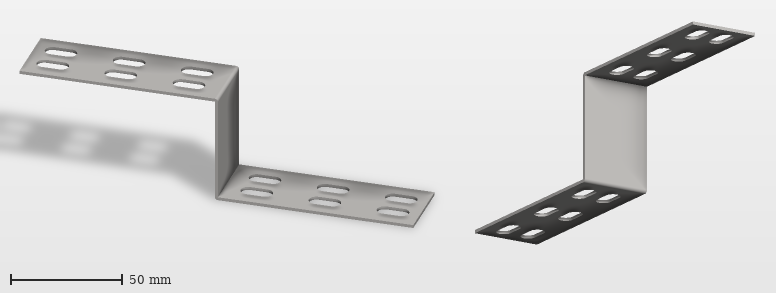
import cadquery as cq

length = 185.0
width = 33.0
height = 51.5
thickness = 1.5
outer_bend_radius = thickness

slot_length = 15.0
slot_width = 7.0
column_pitch = 32.0
row_pitch = 12.8
columns = 3
rows = 2
end_margin = 12.5

half_length = length / 2
half_height = height / 2
half_wall = thickness / 2


def bent_strip():
    """Upper flange to the left, upright wall in the middle, lower flange to the right."""
    profile = [
        (-half_length, half_height),
        (half_wall, half_height),
        (half_wall, -half_height + thickness),
        (half_length, -half_height + thickness),
        (half_length, -half_height),
        (-half_wall, -half_height),
        (-half_wall, half_height - thickness),
        (-half_length, half_height - thickness),
    ]
    strip = cq.Workplane("XZ").polyline(profile).close().extrude(width / 2, both=True)

    for side in (1, -1):
        corner = cq.selectors.NearestToPointSelector((side * half_wall, 0, side * half_height))
        strip = strip.edges("|Y").edges(corner).fillet(outer_bend_radius)
    return strip


def flange_slots(center_x, center_z):
    """Slot cutters passing through the flange at the given height."""
    cutter_height = 4 * thickness
    return (
        cq.Workplane("XY", origin=(center_x, 0, center_z - cutter_height / 2))
        .rarray(column_pitch, row_pitch, columns, rows)
        .slot2D(slot_length, slot_width)
        .extrude(cutter_height)
    )


half_column_span = column_pitch * (columns - 1) / 2
slots_offset_x = half_length - end_margin - half_column_span

result = (
    bent_strip()
    .cut(flange_slots(-slots_offset_x, half_height))
    .cut(flange_slots(slots_offset_x, -half_height))
)